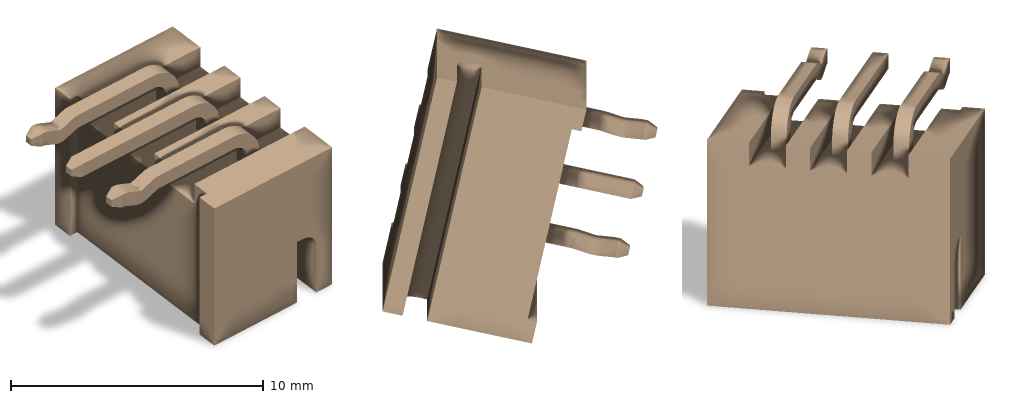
import cadquery as cq
import math


housing_width = 9.9
housing_depth = 6.07
housing_height = 6.99

ear_width = 0.92
recess_depth = 0.39

pin_count = 3
pin_pitch = 2.49
channel_width = 1.5
channel_depth = 0.99

slot_back = 0.81
slot_width = 1.0
slot_height = 3.09
slot_corner_radius = 0.7

pin_size = 0.64
pin_back = 1.99
pin_top = 7.9
pin_tip_reach = 9.46
bend_inner_radius = 0.68
embed_depth = 2.97
tip_length = 0.41
tip_size = 0.34

kink_center = 8.07
kink_angle = 22.0
kink_inner_radius = 0.1
kink_flat = 0.62

channel_floor = housing_height - channel_depth
leg_y = -(pin_back + pin_size / 2)
leg_bottom = channel_floor - embed_depth
arm_z = pin_top - pin_size / 2
bend_radius = bend_inner_radius + pin_size / 2
taper_y = tip_length - pin_tip_reach
pin_positions = [(i - (pin_count - 1) / 2) * pin_pitch for i in range(pin_count)]


def box(width, y_front, y_back, z_low, z_high, x=0.0):
    """Box centred on x, between the given Y and Z limits."""
    return (
        cq.Workplane("XY")
        .box(width, y_back - y_front, z_high - z_low, centered=(True, False, False))
        .translate((x, y_front, z_low))
    )


def front_recess():
    """Shallow block removed from the front face, leaving an ear at each end."""
    recess_width = housing_width - 2 * ear_width
    return box(recess_width, -housing_depth, recess_depth - housing_depth, 0, housing_height)


def back_slot():
    """Slot along X with its upper rear corner rounded."""
    slot = box(housing_width, -slot_back - slot_width, -slot_back, 0, slot_height)
    return slot.edges("|X and >Y and >Z").fillet(slot_corner_radius)


def make_housing():
    body = box(housing_width, -housing_depth, 0, 0, housing_height)
    body = body.cut(front_recess()).cut(back_slot())
    for x in pin_positions:
        body = body.cut(box(channel_width, -housing_depth, 0, channel_floor, housing_height, x))
        body = body.cut(box(pin_size, -pin_back - pin_size, -pin_back, leg_bottom, channel_floor, x))
    return body


def add_kink(path):
    """Continue a pin centre line along the arm and through the kink."""
    angle = math.radians(kink_angle)
    radius = kink_inner_radius + pin_size / 2
    arc_run = radius * math.sin(angle)
    arc_drop = radius * (1 - math.cos(angle))
    flat_run = kink_flat * math.cos(angle)
    flat_drop = kink_flat * math.sin(angle)
    low_z = arm_z - 2 * arc_drop - flat_drop
    half_span = 2 * arc_run + flat_run
    return (
        path.lineTo(half_span - kink_center, arm_z)
        .tangentArcPoint((arc_run + flat_run - kink_center, arm_z - arc_drop), relative=False)
        .lineTo(arc_run - kink_center, low_z + arc_drop)
        .tangentArcPoint((-arc_run - kink_center, low_z + arc_drop), relative=False)
        .lineTo(-arc_run - flat_run - kink_center, arm_z - arc_drop)
        .tangentArcPoint((-half_span - kink_center, arm_z), relative=False)
    )


def make_pin(x, kinked):
    """Square bar swept up the leg, round the bend and along the arm, with a tapered tip."""
    path = (
        cq.Workplane("YZ")
        .moveTo(leg_y, leg_bottom)
        .lineTo(leg_y, arm_z - bend_radius)
        .tangentArcPoint((leg_y - bend_radius, arm_z), relative=False)
    )
    if kinked:
        path = add_kink(path)
    path = path.lineTo(taper_y, arm_z)
    bar = (
        cq.Workplane("XY", origin=(0, leg_y, leg_bottom))
        .rect(pin_size, pin_size)
        .sweep(path)
    )
    tip = (
        cq.Workplane("XZ", origin=(0, taper_y, arm_z))
        .rect(pin_size, pin_size)
        .workplane(offset=tip_length)
        .rect(tip_size, tip_size)
        .loft(combine=True)
    )
    return bar.union(tip).translate((x, 0, 0))


housing = make_housing()
pins = [make_pin(x, kinked=i % 2 == 0) for i, x in enumerate(pin_positions)]

result = cq.Compound.makeCompound([housing.val(), *[pin.val() for pin in pins]])